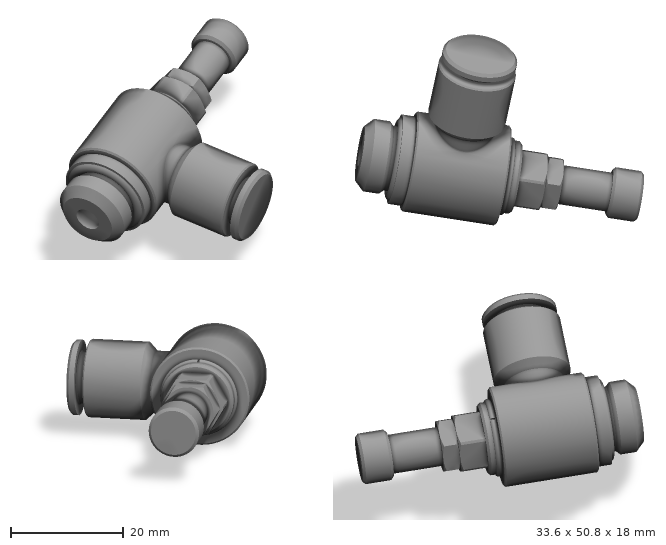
import cadquery as cq
import math


overall_width = 33.6

barrel_diameter = 18.0
barrel_length = 17.1
barrel_chamfer = 0.3
bore_radius = 6.55

branch_neck_radius = 5.5
branch_radius = 7.0
branch_cone_start = 9.55
branch_end = 21.55
branch_end_chamfer = 0.25
junction_fillet = 0.25
collet_neck_radius = 4.6
collet_flare = 0.25
collet_flange_radius = 6.75
collet_flange_start = 23.15
collet_chamfer = 0.5

knob_top = 33.4
knob_length = 5.6
knob_radius = 4.55
knob_chamfer = 0.5
stem_radius = 3.5

nut_top = 18.85
nut_across_flats = 9.0
head_top = 15.85
head_across_flats = 10.0
head_corner_diameter = 11.25
hex_chamfer_slope = math.tan(math.radians(30))
hex_half_angle = math.radians(180 / 6)

collar_top = 11.0
collar_chamfer = 0.45
ring_top = 9.7
ring_radius = 7.0
ring_gap = 0.4

flange_radius = 8.05
flange_chamfer = 0.25
flange_bottom = -11.0
seal_center_radius = 6.6
seal_center_y = -10.65
seal_section_radius = 1.0
thread_neck_radius = 5.85
thread_top = -12.25
thread_radius = 6.55
thread_end_chamfer = 1.55
screw_bottom = -17.35
port_radius = 2.3
port_depth = 10.15

barrel_radius = barrel_diameter / 2
barrel_top = barrel_length / 2
barrel_bottom = -barrel_top
collet_end = overall_width - barrel_radius


def revolve_about_y(half_profile):
    """Turn a closed half profile, drawn with radius along X, around the Y axis."""
    return half_profile.close().revolve(360, (0, 0, 0), (0, 1, 0))


def cylinder_along_y(radius, bottom, top):
    half_profile = cq.Workplane("XY").polyline([(0, bottom), (radius, bottom), (radius, top), (0, top)])
    return revolve_about_y(half_profile)


def make_barrel():
    barrel = cylinder_along_y(barrel_radius, barrel_bottom, barrel_top)
    return barrel.faces("<Y or >Y").chamfer(barrel_chamfer)


def make_branch():
    """Stepped round branch along X, starting on the screw axis inside the barrel."""
    cone_end = branch_cone_start + branch_radius - branch_neck_radius
    outline = [
        (0, 0),
        (0, branch_neck_radius),
        (branch_cone_start, branch_neck_radius),
        (cone_end, branch_radius),
        (branch_end - branch_end_chamfer, branch_radius),
        (branch_end, branch_radius - branch_end_chamfer),
        (branch_end, collet_neck_radius),
        (collet_flange_start - collet_flare, collet_neck_radius),
        (collet_flange_start, collet_neck_radius + collet_flare),
        (collet_flange_start, collet_flange_radius),
        (collet_end - collet_chamfer, collet_flange_radius),
        (collet_end, collet_flange_radius - collet_chamfer),
        (collet_end, 0),
    ]
    return cq.Workplane("XY").polyline(outline).close().revolve(360, (0, 0, 0), (1, 0, 0))


def make_elbow():
    elbow = make_barrel().union(make_branch())
    junction = cq.selectors.BoxSelector(
        (0, -barrel_radius, -barrel_radius),
        (branch_cone_start - junction_fillet, barrel_radius, barrel_radius),
        boundingbox=True,
    )
    elbow = elbow.edges(junction).fillet(junction_fillet)
    return elbow.cut(cylinder_along_y(bore_radius, barrel_bottom, barrel_top))


def make_knob():
    knob = cylinder_along_y(knob_radius, knob_top - knob_length, knob_top)
    return knob.faces("<Y or >Y").chamfer(knob_chamfer)


def make_hexagon(across_flats, bottom, top):
    """Hexagonal prism along Y with two flats facing +Z and -Z."""
    corner_diameter = across_flats / math.cos(hex_half_angle)
    return cq.Workplane("XZ", origin=(0, top, 0)).polygon(6, corner_diameter).extrude(top - bottom)


def hexagon_envelope(radius, face_radius, bottom, top, bottom_chamfered):
    """Round blank whose conical ends trim the corners of a hexagon."""
    drop = (radius - face_radius) * hex_chamfer_slope
    blank = cq.Workplane("XY").moveTo(0, bottom)
    if bottom_chamfered:
        blank = blank.lineTo(face_radius, bottom).lineTo(radius, bottom + drop)
    else:
        blank = blank.lineTo(radius, bottom)
    return revolve_about_y(blank.lineTo(radius, top - drop).lineTo(face_radius, top).lineTo(0, top))


def make_lock_nut():
    corner_radius = nut_across_flats / 2 / math.cos(hex_half_angle)
    envelope = hexagon_envelope(corner_radius, nut_across_flats / 2, head_top, nut_top, True)
    return make_hexagon(nut_across_flats, head_top, nut_top).intersect(envelope)


def make_head():
    envelope = hexagon_envelope(head_corner_diameter / 2, head_across_flats / 2, collar_top, head_top, False)
    return make_hexagon(head_across_flats, collar_top, head_top).intersect(envelope)


def make_core():
    """Turned length of the screw, from the collar through the barrel down to the threaded end."""
    thread_chamfer = thread_radius - thread_neck_radius
    seal_drop_at_flange = seal_center_y - flange_bottom
    seal_start = seal_center_radius + math.sqrt(seal_section_radius**2 - seal_drop_at_flange**2)
    seal_reach_to_neck = seal_center_radius - thread_neck_radius
    seal_end = seal_center_y - math.sqrt(seal_section_radius**2 - seal_reach_to_neck**2)
    half_profile = (
        cq.Workplane("XY")
        .moveTo(0, collar_top)
        .lineTo(bore_radius - collar_chamfer, collar_top)
        .lineTo(bore_radius, collar_top - collar_chamfer)
        .lineTo(bore_radius, barrel_bottom)
        .lineTo(flange_radius - flange_chamfer, barrel_bottom)
        .lineTo(flange_radius, barrel_bottom - flange_chamfer)
        .lineTo(flange_radius, flange_bottom)
        .lineTo(seal_start, flange_bottom)
        .threePointArc(
            (seal_center_radius, seal_center_y - seal_section_radius),
            (thread_neck_radius, seal_end),
        )
        .lineTo(thread_neck_radius, thread_top)
        .lineTo(thread_radius, thread_top - thread_chamfer)
        .lineTo(thread_radius, screw_bottom + thread_end_chamfer)
        .lineTo(thread_radius - thread_end_chamfer, screw_bottom)
        .lineTo(0, screw_bottom)
    )
    return revolve_about_y(half_profile)


def make_retaining_ring():
    """Rounded ring on the collar, resting on the barrel and split at +Z."""
    ring_middle = (ring_top + barrel_top) / 2
    half_profile = (
        cq.Workplane("XY")
        .moveTo(stem_radius, barrel_top)
        .lineTo(bore_radius, barrel_top)
        .threePointArc((ring_radius, ring_middle), (bore_radius, ring_top))
        .lineTo(stem_radius, ring_top)
    )
    gap_plane = cq.Workplane("XY", origin=(0, ring_middle, 0))
    gap = gap_plane.rect(ring_gap, ring_top - barrel_top).extrude(ring_radius)
    return revolve_about_y(half_profile).cut(gap)


def make_screw():
    screw = make_core().union(make_retaining_ring())
    screw = screw.union(make_head()).union(make_lock_nut())
    screw = screw.union(cylinder_along_y(stem_radius, nut_top, knob_top - knob_length))
    screw = screw.union(make_knob())
    return screw.cut(cylinder_along_y(port_radius, screw_bottom, screw_bottom + port_depth))


elbow = make_elbow()
screw = make_screw()

result = cq.Compound.makeCompound([elbow.solids().val(), screw.solids().val()])